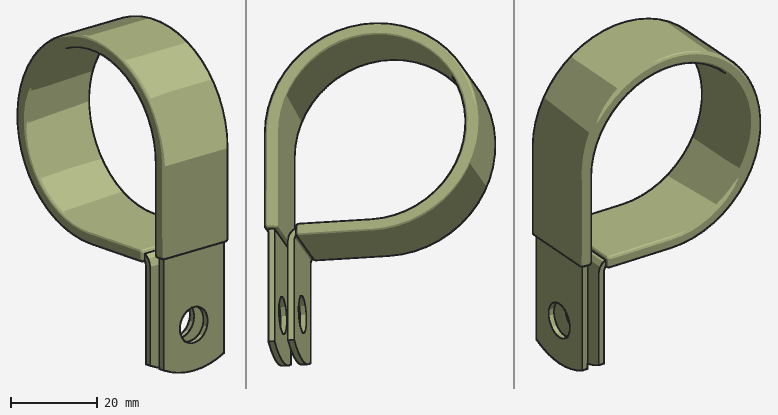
import cadquery as cq
import math

outer_radius = 25.3
cushion_thickness = 3.2
cushion_width = 20.7
cushion_rounding = 0.85
side_leg_bottom = -23.0
bottom_leg_end = 17.95

strap_thickness = cushion_thickness - 2 * cushion_rounding
strap_width = cushion_width - 2 * cushion_rounding
strap_radius = outer_radius - cushion_thickness / 2
bend_outer_radius = 3.0
bent_tab_outer_x = 19.8
strap_overlap = 3.9

tab_bottom = -52.4
tab_end_sagitta = 2.2
hole_diameter = 8.7
hole_z = -41.2


def front_plane(depth):
    """XZ sketch plane placed so that an extrusion of the given depth is centred on Y = 0."""
    return cq.Workplane("XZ", origin=(0, depth / 2, 0))


def make_cushion():
    inner_radius = outer_radius - cushion_thickness
    diagonal = math.sqrt(0.5)
    band = (
        front_plane(cushion_width)
        .moveTo(outer_radius, side_leg_bottom)
        .lineTo(outer_radius, 0)
        .threePointArc((-outer_radius * diagonal, outer_radius * diagonal), (0, -outer_radius))
        .lineTo(bottom_leg_end, -outer_radius)
        .lineTo(bottom_leg_end, -inner_radius)
        .lineTo(0, -inner_radius)
        .threePointArc((-inner_radius * diagonal, inner_radius * diagonal), (inner_radius, 0))
        .lineTo(inner_radius, side_leg_bottom)
        .close()
        .extrude(cushion_width)
    )
    side_edges = band.faces("<Y or >Y").edges()
    leg_ends = cq.selectors.BoxSelector(
        (bottom_leg_end / 2, -cushion_width, -2 * outer_radius),
        (2 * outer_radius, cushion_width, side_leg_bottom / 2),
    )
    end_edges = band.edges("|Y").edges(leg_ends)
    return side_edges.add(end_edges).fillet(cushion_rounding)


def make_straight_tab():
    return (
        front_plane(strap_width)
        .moveTo(strap_radius - strap_thickness / 2, tab_bottom)
        .lineTo(strap_radius + strap_thickness / 2, tab_bottom)
        .lineTo(strap_radius + strap_thickness / 2, side_leg_bottom + strap_overlap)
        .lineTo(strap_radius - strap_thickness / 2, side_leg_bottom + strap_overlap)
        .close()
        .extrude(strap_width)
    )


def make_bent_tab():
    strap_top = -strap_radius + strap_thickness / 2
    bend_x = bent_tab_outer_x - bend_outer_radius
    bend_z = strap_top - bend_outer_radius
    bend_inner_radius = bend_outer_radius - strap_thickness
    start_x = bottom_leg_end - strap_overlap
    return (
        front_plane(strap_width)
        .moveTo(start_x, strap_top)
        .lineTo(bend_x, strap_top)
        .radiusArc((bent_tab_outer_x, bend_z), bend_outer_radius)
        .lineTo(bent_tab_outer_x, tab_bottom)
        .lineTo(bent_tab_outer_x - strap_thickness, tab_bottom)
        .lineTo(bent_tab_outer_x - strap_thickness, bend_z)
        .radiusArc((bend_x, bend_z + bend_inner_radius), -bend_inner_radius)
        .lineTo(start_x, strap_top - strap_thickness)
        .close()
        .extrude(strap_width)
    )


def make_tab_profile():
    """Prism along X that gives the tabs their curved lower ends."""
    half_width = strap_width / 2
    corner_z = tab_bottom + tab_end_sagitta
    return (
        cq.Workplane("YZ")
        .moveTo(-half_width, 0)
        .lineTo(-half_width, corner_z)
        .threePointArc((0, tab_bottom), (half_width, corner_z))
        .lineTo(half_width, 0)
        .close()
        .extrude(outer_radius)
    )


hole = cq.Workplane("YZ").center(0, hole_z).circle(hole_diameter / 2).extrude(outer_radius)
tabs = make_straight_tab().union(make_bent_tab()).intersect(make_tab_profile()).cut(hole)
result = make_cushion().union(tabs)